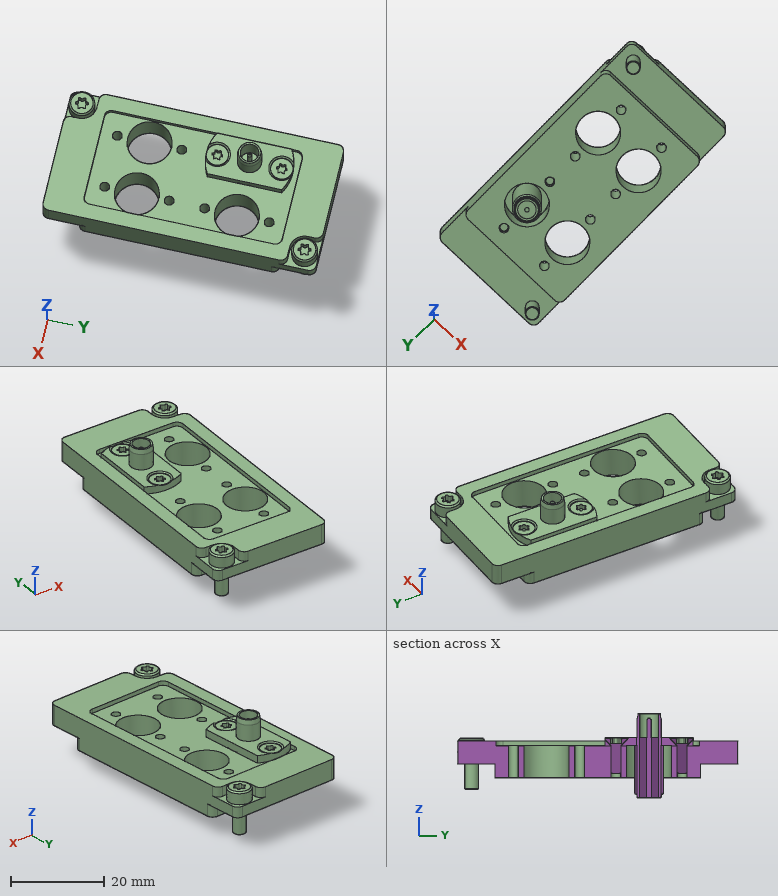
import cadquery as cq
import math

PLATE_X = 28.7
PLATE_Y = 60.0
RIM_TOP = 5.0
CORNER_R = 1.5
STEP_Y = 44.0
STEP_BOTTOM = -2.95
POCKET_X = 22.0
POCKET_Y = 43.45
POCKET_DEPTH = 1.0
POCKET_FLOOR = RIM_TOP - POCKET_DEPTH

STATION_X = 6.0
STATION_Y = 11.0
STATION_BORE_D = 9.6
SCREW_OFFSET_Y = 7.1
SCREW_HOLE_D = 2.05
FITTED_X = -STATION_X
FITTED_Y = STATION_Y

CORNER_SCREW_X = 11.0
CORNER_SCREW_Y = 27.0
SEAT_Z = 2.6
SEAT_R = 3.3
SEAT_CORNER_R = 1.5
CORNER_HEAD_R = 2.75
CORNER_HEAD_HEIGHT = 3.0
CORNER_HEAD_CHAMFER = 0.35
CORNER_SHANK_R = 1.5
CORNER_SHANK_LENGTH = 8.0
SHANK_CHAMFER = 0.2
CORNER_DRIVE_D = 2.75
CORNER_DRIVE_DEPTH = 1.5
CORNER_DRIVE_TURN = 100.0

FLANGE_X = STATION_BORE_D
FLANGE_R = 9.5
FLANGE_THICK = 1.8
FLANGE_TOP = POCKET_FLOOR + FLANGE_THICK
SINK_TOP_R = 5.6 / 2
FLANGE_HEAD_R = 2.4
FLANGE_HEAD_LAND = 0.2
HEAD_CONE_TOP = FLANGE_TOP - (SINK_TOP_R - FLANGE_HEAD_R)
FLANGE_HEAD_TOP = HEAD_CONE_TOP + FLANGE_HEAD_LAND
SINK_BOTTOM = FLANGE_TOP - (SINK_TOP_R - SCREW_HOLE_D / 2)
FLANGE_SCREW_TIP = POCKET_FLOOR - 6.0
FLANGE_DRIVE_D = 2.35
FLANGE_DRIVE_DEPTH = 1.1
FLANGE_DRIVE_TURN = 90.0

DRIVE_ROOT_RATIO = 0.7
LOBES = 6
LOBE_HALF_ANGLE = 13.0

SHELL_R = 5.2 / 2
SHELL_TOP = 10.8
SHELL_BOTTOM = -7.2
SHELL_TIP_R = 2.4
SHELL_TAPER_HEIGHT = 1.15
SHELL_BOTTOM_CHAMFER = 0.2
SHELL_BORE_R = 2.0
SLEEVE_R = 3.1
SLEEVE_BOTTOM = -6.5
SLEEVE_CHAMFER = 0.3
PIN_R = 0.5
PIN_TOP = 9.85
PIN_CHAMFER = 0.3


def cylinder(radius, z_low, z_high):
    return cq.Workplane("XY", origin=(0, 0, z_low)).circle(radius).extrude(z_high - z_low)


def revolved(profile):
    """Solid of revolution about Z from a closed profile of (radius, z) points."""
    return cq.Workplane("XZ").polyline(profile).close().revolve(360, (0, 0, 0), (0, 1, 0))


def rounded_block(x_size, y_size, z_low, z_high):
    block = cq.Workplane("XY", origin=(0, 0, z_low)).rect(x_size, y_size).extrude(z_high - z_low)
    return block.edges("|Z").fillet(CORNER_R)


def drive_recess(diameter, depth, turn, z_top):
    """Six-lobed cutter that sinks into a screw head from z_top; turn is the angle of one lobe."""
    tip_r = diameter / 2
    root_r = tip_r * DRIVE_ROOT_RATIO
    flank_r = (tip_r + root_r) / 2
    pitch = 360.0 / LOBES

    def polar(radius, degrees):
        angle = math.radians(degrees + turn)
        return (radius * math.cos(angle), radius * math.sin(angle))

    outline = cq.Workplane("XY", origin=(0, 0, z_top)).moveTo(*polar(flank_r, -LOBE_HALF_ANGLE))
    for lobe in range(LOBES):
        middle = lobe * pitch
        outline = outline.threePointArc(polar(tip_r, middle), polar(flank_r, middle + LOBE_HALF_ANGLE))
        outline = outline.threePointArc(
            polar(root_r, middle + pitch / 2), polar(flank_r, middle + pitch - LOBE_HALF_ANGLE)
        )
    return outline.close().extrude(-depth)


def corner_seat():
    """Cutter for the open seat around the lower-left corner screw."""
    left = -PLATE_X / 2
    front = -PLATE_Y / 2
    wall_x = -CORNER_SCREW_X + SEAT_R
    wall_y = -CORNER_SCREW_Y + SEAT_R
    r = SEAT_CORNER_R
    near = r * (1 - math.sqrt(0.5))
    diagonal = SEAT_R * math.sqrt(0.5)
    return (
        cq.Workplane("XY", origin=(0, 0, SEAT_Z))
        .moveTo(left, front)
        .lineTo(wall_x + r, front)
        .threePointArc((wall_x + near, front + near), (wall_x, front + r))
        .lineTo(wall_x, -CORNER_SCREW_Y)
        .threePointArc((-CORNER_SCREW_X + diagonal, -CORNER_SCREW_Y + diagonal), (-CORNER_SCREW_X, wall_y))
        .lineTo(left + r, wall_y)
        .threePointArc((left + near, wall_y + near), (left, wall_y + r))
        .close()
        .extrude(RIM_TOP - SEAT_Z)
    )


def make_plate():
    plate = rounded_block(PLATE_X, PLATE_Y, 0, RIM_TOP)
    plate = plate.union(rounded_block(PLATE_X, STEP_Y, STEP_BOTTOM, 0))
    plate = plate.cut(rounded_block(POCKET_X, POCKET_Y, POCKET_FLOOR, RIM_TOP))

    bore = cylinder(STATION_BORE_D / 2, STEP_BOTTOM, POCKET_FLOOR)
    screw_hole = cylinder(SCREW_HOLE_D / 2, STEP_BOTTOM, POCKET_FLOOR)
    for x in (-STATION_X, STATION_X):
        for y in (-STATION_Y, STATION_Y):
            plate = plate.cut(bore.translate((x, y, 0)))
            for offset in (-SCREW_OFFSET_Y, SCREW_OFFSET_Y):
                plate = plate.cut(screw_hole.translate((x, y + offset, 0)))

    shank_hole = cylinder(CORNER_SHANK_R, 0, SEAT_Z).translate((-CORNER_SCREW_X, -CORNER_SCREW_Y, 0))
    corner_cut = corner_seat().union(shank_hole)
    for turn in (0, 180):
        plate = plate.cut(corner_cut.rotate((0, 0, 0), (0, 0, 1), turn))
    return plate


def make_corner_screw():
    head_top = SEAT_Z + CORNER_HEAD_HEIGHT
    head = cylinder(CORNER_HEAD_R, SEAT_Z, head_top).faces(">Z").chamfer(CORNER_HEAD_CHAMFER)
    shank = cylinder(CORNER_SHANK_R, SEAT_Z - CORNER_SHANK_LENGTH, SEAT_Z).faces("<Z").chamfer(SHANK_CHAMFER)
    recess = drive_recess(CORNER_DRIVE_D, CORNER_DRIVE_DEPTH, CORNER_DRIVE_TURN, head_top)
    return head.union(shank).cut(recess)


def make_flange():
    bar = cq.Workplane("XY", origin=(0, 0, POCKET_FLOOR)).rect(FLANGE_X, 2 * FLANGE_R).extrude(FLANGE_THICK)
    flange = bar.intersect(cylinder(FLANGE_R, POCKET_FLOOR, FLANGE_TOP))
    flange = flange.cut(cylinder(SHELL_R, POCKET_FLOOR, FLANGE_TOP))
    screw_hole_r = SCREW_HOLE_D / 2
    countersunk_hole = revolved([
        (0, POCKET_FLOOR),
        (screw_hole_r, POCKET_FLOOR),
        (screw_hole_r, SINK_BOTTOM),
        (SINK_TOP_R, FLANGE_TOP),
        (0, FLANGE_TOP),
    ])
    for offset in (-SCREW_OFFSET_Y, SCREW_OFFSET_Y):
        flange = flange.cut(countersunk_hole.translate((0, offset, 0)))
    return flange


def make_flange_screw():
    shank_r = SCREW_HOLE_D / 2
    screw = revolved([
        (0, FLANGE_SCREW_TIP),
        (shank_r - SHANK_CHAMFER, FLANGE_SCREW_TIP),
        (shank_r, FLANGE_SCREW_TIP + SHANK_CHAMFER),
        (shank_r, SINK_BOTTOM),
        (FLANGE_HEAD_R, HEAD_CONE_TOP),
        (FLANGE_HEAD_R, FLANGE_HEAD_TOP),
        (0, FLANGE_HEAD_TOP),
    ])
    recess = drive_recess(FLANGE_DRIVE_D, FLANGE_DRIVE_DEPTH, FLANGE_DRIVE_TURN, FLANGE_HEAD_TOP)
    return screw.cut(recess)


def make_shell():
    return revolved([
        (SHELL_BORE_R, SHELL_BOTTOM),
        (SHELL_R - SHELL_BOTTOM_CHAMFER, SHELL_BOTTOM),
        (SHELL_R, SHELL_BOTTOM + SHELL_BOTTOM_CHAMFER),
        (SHELL_R, SHELL_TOP - SHELL_TAPER_HEIGHT),
        (SHELL_TIP_R, SHELL_TOP),
        (SHELL_BORE_R, SHELL_TOP),
    ])


def make_sleeve():
    """Collar around the shell, hanging from the flange through the station bore."""
    collar = cylinder(SLEEVE_R, SLEEVE_BOTTOM, POCKET_FLOOR).faces("<Z").chamfer(SLEEVE_CHAMFER)
    return collar.cut(cylinder(SHELL_R, SLEEVE_BOTTOM, POCKET_FLOOR))


def make_insulator():
    """Filling between shell and pin, level with the flange top."""
    return cylinder(SHELL_BORE_R, SHELL_BOTTOM, FLANGE_TOP).cut(cylinder(PIN_R, SHELL_BOTTOM, FLANGE_TOP))


def make_pin():
    return cylinder(PIN_R, SHELL_BOTTOM, PIN_TOP).faces(">Z").chamfer(PIN_CHAMFER)


plate = make_plate()

corner_screws = [
    make_corner_screw().translate((side * CORNER_SCREW_X, side * CORNER_SCREW_Y, 0)) for side in (-1, 1)
]

flange = make_flange().translate((FITTED_X, FITTED_Y, 0))
flange_screws = [
    make_flange_screw().translate((FITTED_X, FITTED_Y + side * SCREW_OFFSET_Y, 0)) for side in (-1, 1)
]

shell = make_shell().translate((FITTED_X, FITTED_Y, 0))
sleeve = make_sleeve().translate((FITTED_X, FITTED_Y, 0))
insulator = make_insulator().translate((FITTED_X, FITTED_Y, 0))
pin = make_pin().translate((FITTED_X, FITTED_Y, 0))

result = cq.Compound.makeCompound([
    plate.val(),
    *[screw.val() for screw in corner_screws],
    flange.val(),
    *[screw.val() for screw in flange_screws],
    shell.val(),
    sleeve.val(),
    insulator.val(),
    pin.val(),
])